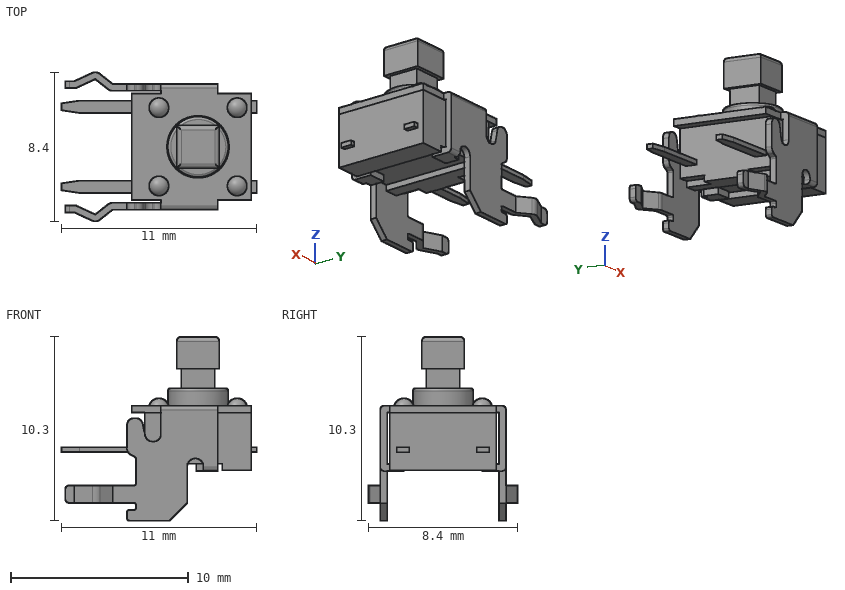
import cadquery as cq
import math


housing_size = 6.0
housing_half = housing_size / 2
housing_height = 3.24
underside_step = 0.36
channel_half = 1.35
corner_notch_width = 1.57
corner_notch_depth = 0.75

pin_y = 2.25
pin_width = 0.7
pin_tip_width = 0.4
pin_thickness = 0.28
pin_centre_z = -2.08
pin_length = 11.0
pin_right_end = 3.31
pin_left_end = pin_right_end - pin_length
pin_taper_length = 1.0

stake_pitch = 4.4
stake_diameter = 0.75
stake_head_diameter = 1.1
stake_head_height = 0.42

sheet = 0.4
plate_left = -3.73
plate_right = housing_half
plate_hole_diameter = 3.5
side_outer_y = 3.54
side_inner_y = side_outer_y - sheet
side_right = 1.12
bend_radius = 0.23

overall_height = 10.35
bottom_z = -6.08
hook_left = -4.0
neck_x = -3.5
hook_top_z = -0.3
hook_slope_top_x = -3.176
hook_slope_bottom_x = -2.896
side_slot_right = -2.09
side_slot_bottom_z = -1.62
hook_round = 0.4
hook_heel_z = -2.25
hook_heel_neck_z = -2.52
inner_round = 0.1
foot_top_z = -5.46
foot_round = 0.15
leg_right = -0.6
leg_chamfer = 1.0

clip_left = -7.48
clip_top_z = -4.08
clip_height = 1.0
clip_bottom_z = clip_top_z - clip_height
clip_tip_round = 0.25
clip_peak_y = 4.2
clip_peak_x = -5.78
clip_tip_inner_y = 3.3
clip_tip_bend_x = -6.86
clip_root_bend_x = -4.94

tab_left = -0.1
tab_inner_y = 2.2
tab_top_z = -(housing_height - underside_step)
tab_bottom_z = tab_top_z - sheet
relief_width = 0.9
relief_right = leg_right + relief_width
relief_top_z = -2.57

collar_diameter = 3.4
collar_top_z = 1.38
collar_round = 0.15
stem_width = 1.9
cap_width = 2.4
cap_bottom_z = 2.47
plunger_top_z = bottom_z + overall_height
cap_round = 0.25


def box(x_range, y_range, z_range):
    """Axis-aligned block between the given limits."""
    size = [limits[1] - limits[0] for limits in (x_range, y_range, z_range)]
    corner = (x_range[0], y_range[0], z_range[0])
    return cq.Workplane("XY").box(*size, centered=False).translate(corner)


def rounded_outline(plane, corners):
    """Closed polygon of (u, v, radius) corners; a zero radius leaves the corner sharp."""
    stretches = []
    for i, (u, v, radius) in enumerate(corners):
        corner = cq.Vector(u, v)
        if radius == 0:
            stretches.append([corner])
            continue
        before = cq.Vector(*corners[i - 1][:2])
        after = cq.Vector(*corners[(i + 1) % len(corners)][:2])
        to_before = (before - corner).normalized()
        to_after = (after - corner).normalized()
        half_angle = to_before.getAngle(to_after) / 2
        setback = radius / math.tan(half_angle)
        bisector = (to_before + to_after).normalized()
        middle = corner + bisector * (radius / math.sin(half_angle) - radius)
        stretches.append([corner + to_before * setback, middle, corner + to_after * setback])

    wire = cq.Workplane(plane).moveTo(stretches[0][0].x, stretches[0][0].y)
    for i, stretch in enumerate(stretches):
        if i > 0:
            wire = wire.lineTo(stretch[0].x, stretch[0].y)
        if len(stretch) > 1:
            wire = wire.threePointArc(stretch[1].toTuple()[:2], stretch[2].toTuple()[:2])
    return wire.close()


def offset_path(points, distance):
    """Open path moved to the left of its direction by the distance, with mitred corners."""
    angles = [math.atan2(b[1] - a[1], b[0] - a[0]) for a, b in zip(points, points[1:])]
    moved = []
    for i, (x, y) in enumerate(points):
        before = angles[max(i - 1, 0)]
        after = angles[min(i, len(angles) - 1)]
        normal = (before + after) / 2 + math.pi / 2
        reach = distance / math.cos((after - before) / 2)
        moved.append((x + reach * math.cos(normal), y + reach * math.sin(normal)))
    return moved


def make_pin():
    """Flat pin along X with a tapered left tip, centred on Y = 0."""
    taper_end = pin_left_end + pin_taper_length
    half_width = pin_width / 2
    half_tip = pin_tip_width / 2
    outline = [
        (pin_left_end, half_tip),
        (taper_end, half_width),
        (pin_right_end, half_width),
        (pin_right_end, -half_width),
        (taper_end, -half_width),
        (pin_left_end, -half_tip),
    ]
    pin = cq.Workplane("XY").polyline(outline).close().extrude(pin_thickness)
    return pin.translate((0, 0, pin_centre_z - pin_thickness / 2))


def stake_centres():
    """Plane at Z = 0 with the four stake centres picked."""
    return cq.Workplane("XY").rect(stake_pitch, stake_pitch, forConstruction=True).vertices()


def make_stake_shanks():
    """The four round shanks that fill the holes in the bracket plate."""
    return stake_centres().circle(stake_diameter / 2).extrude(sheet)


def make_stake_head():
    """Spherical cap that rests on the bracket plate."""
    half_width = stake_head_diameter / 2
    radius = (half_width**2 + stake_head_height**2) / (2 * stake_head_height)
    ball = cq.Workplane("XY").sphere(radius).translate((0, 0, sheet + stake_head_height - radius))
    above_plate = box((-radius, radius), (-radius, radius), (sheet, sheet + 2 * radius))
    return ball.intersect(above_plate)


def make_housing():
    full_width = (-housing_half, housing_half)
    step_z = (-housing_height, -housing_height + underside_step)
    body = box(full_width, full_width, (-housing_height, 0))

    body = body.cut(box((-channel_half, channel_half), full_width, step_z))

    notch_x = (-housing_half, -housing_half + corner_notch_depth)
    notch = box(notch_x, (housing_half - corner_notch_width, housing_half), step_z)
    body = body.cut(notch).cut(notch.mirror("XZ"))

    for side in (-1, 1):
        body = body.union(make_pin().translate((0, side * pin_y, 0)))

    body = body.union(make_stake_shanks())
    for stake in stake_centres().vals():
        body = body.union(make_stake_head().translate(stake.Center()))
    return body


def make_side_profile():
    """Side wall as seen along Y, thicker than the wall and its clip."""
    outline = [
        (side_slot_right, sheet, 0),
        (side_slot_right, side_slot_bottom_z, hook_round),
        (hook_slope_bottom_x, side_slot_bottom_z, hook_round),
        (hook_slope_top_x, hook_top_z, hook_round),
        (hook_left, hook_top_z, hook_round),
        (hook_left, hook_heel_z, hook_round),
        (neck_x, hook_heel_neck_z, inner_round),
        (neck_x, clip_top_z, inner_round),
        (clip_left, clip_top_z, clip_tip_round),
        (clip_left, clip_bottom_z, clip_tip_round),
        (neck_x, clip_bottom_z, inner_round),
        (neck_x, foot_top_z, inner_round),
        (hook_left, foot_top_z, foot_round),
        (hook_left, bottom_z, foot_round),
        (leg_right - leg_chamfer, bottom_z, 0),
        (leg_right, bottom_z + leg_chamfer, 0),
        (leg_right, tab_bottom_z, 0),
        (side_right, tab_bottom_z, 0),
        (side_right, sheet, 0),
    ]
    profile = rounded_outline("XZ", outline).extrude(-2 * clip_peak_y)

    relief_radius = relief_width / 2
    relief = (
        cq.Workplane("XZ")
        .moveTo(leg_right, tab_bottom_z)
        .lineTo(leg_right, relief_top_z - relief_radius)
        .threePointArc(
            (leg_right + relief_radius, relief_top_z),
            (relief_right, relief_top_z - relief_radius),
        )
        .lineTo(relief_right, tab_bottom_z)
        .close()
        .extrude(-2 * clip_peak_y)
    )
    return profile.cut(relief)


def make_side_plan():
    """Bent strip as seen along Z, which gives the wall thickness and the clip's peak."""
    inner = [
        (clip_left, clip_tip_inner_y),
        (clip_tip_bend_x, clip_tip_inner_y),
        (clip_peak_x, clip_peak_y - sheet),
        (clip_root_bend_x, side_inner_y),
        (side_right, side_inner_y),
    ]
    outer = offset_path(inner, sheet)
    inner_rounds = [0, 0, 0, sheet, 0]
    outer_rounds = [0, 0, sheet, 0, 0]
    inner_corners = [(*point, radius) for point, radius in zip(inner, inner_rounds)]
    outer_corners = [(*point, radius) for point, radius in zip(outer, outer_rounds)]
    plan = rounded_outline("XY", inner_corners + outer_corners[::-1])
    return plan.extrude(sheet - bottom_z).translate((0, 0, bottom_z))


def make_side():
    """Side wall on +Y with its spring clip, hook, foot and folded tab."""
    wall = make_side_profile().intersect(make_side_plan())

    fold_x = (relief_right + side_right) / 2
    for fold_z in (sheet, tab_bottom_z):
        fold_edge = cq.selectors.NearestToPointSelector((fold_x, side_outer_y, fold_z))
        wall = wall.edges("|X").edges(fold_edge).fillet(bend_radius)

    bridge = box((side_slot_right, side_right), (housing_half, side_inner_y), (0, sheet))
    tab = box((tab_left, side_right), (tab_inner_y, side_inner_y), (tab_bottom_z, tab_top_z))
    return wall.union(bridge).union(tab)


def make_bracket():
    plate = box((plate_left, plate_right), (-housing_half, housing_half), (0, sheet))
    side = make_side()
    bracket = plate.union(side).union(side.mirror("XZ"))
    bracket = bracket.cut(cq.Workplane("XY").circle(plate_hole_diameter / 2).extrude(sheet))
    return bracket.cut(make_stake_shanks())


def make_plunger():
    collar = cq.Workplane("XY").circle(collar_diameter / 2).extrude(collar_top_z)
    collar = collar.faces(">Z").edges().fillet(collar_round)
    stem = cq.Workplane("XY").rect(stem_width, stem_width).extrude(cap_bottom_z)
    cap = (
        cq.Workplane("XY", origin=(0, 0, cap_bottom_z))
        .rect(cap_width, cap_width)
        .extrude(plunger_top_z - cap_bottom_z)
        .faces(">Z")
        .edges()
        .fillet(cap_round)
    )
    return collar.union(stem).union(cap)


housing = make_housing()
bracket = make_bracket()
plunger = make_plunger()

bodies = [body.solids().val() for body in (housing, bracket, plunger)]
result = cq.Compound.makeCompound(bodies)